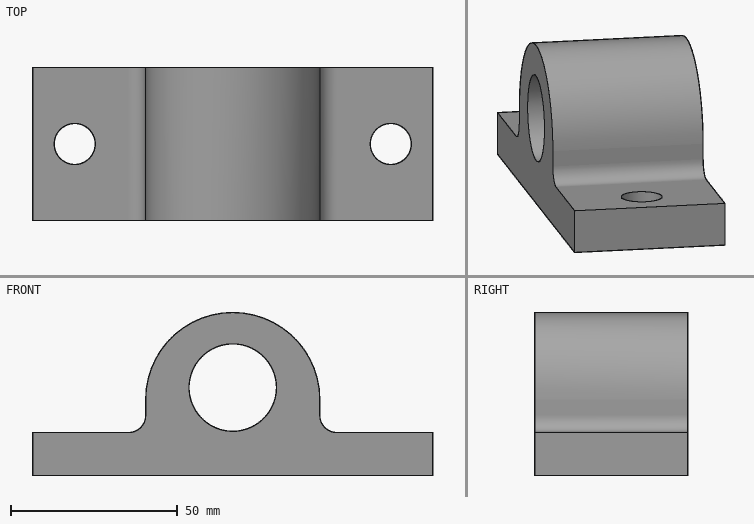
import cadquery as cq

length = 120.0
depth = 46.0
base_height = 13.0

total_height = 49.0
arch_radius = 26.2
arch_center_z = total_height - arch_radius
fillet_radius = 5.0

bore_diameter = 26.2
bore_center_z = 26.4

hole_diameter = 12.2
hole_spacing = 94.8


def make_body():
    """Base and housing as one profile, with fillets where they meet."""
    half_length = length / 2
    fillet_end_x = arch_radius + fillet_radius
    fillet_top_z = base_height + fillet_radius
    profile = (
        cq.Workplane("XZ")
        .moveTo(-half_length, 0)
        .lineTo(half_length, 0)
        .lineTo(half_length, base_height)
        .lineTo(fillet_end_x, base_height)
        .radiusArc((arch_radius, fillet_top_z), fillet_radius)
        .lineTo(arch_radius, arch_center_z)
        .threePointArc((0, total_height), (-arch_radius, arch_center_z))
        .lineTo(-arch_radius, fillet_top_z)
        .radiusArc((-fillet_end_x, base_height), fillet_radius)
        .lineTo(-half_length, base_height)
        .close()
    )
    return profile.extrude(depth / 2, both=True)


def make_bore():
    """Shaft bore running the full depth of the housing."""
    return (
        cq.Workplane("XZ")
        .center(0, bore_center_z)
        .circle(bore_diameter / 2)
        .extrude(depth / 2, both=True)
    )


def make_mounting_holes():
    """Vertical through holes, one on each side of the housing."""
    return (
        cq.Workplane("XY")
        .pushPoints([(-hole_spacing / 2, 0), (hole_spacing / 2, 0)])
        .circle(hole_diameter / 2)
        .extrude(base_height)
    )


result = make_body().cut(make_bore()).cut(make_mounting_holes())